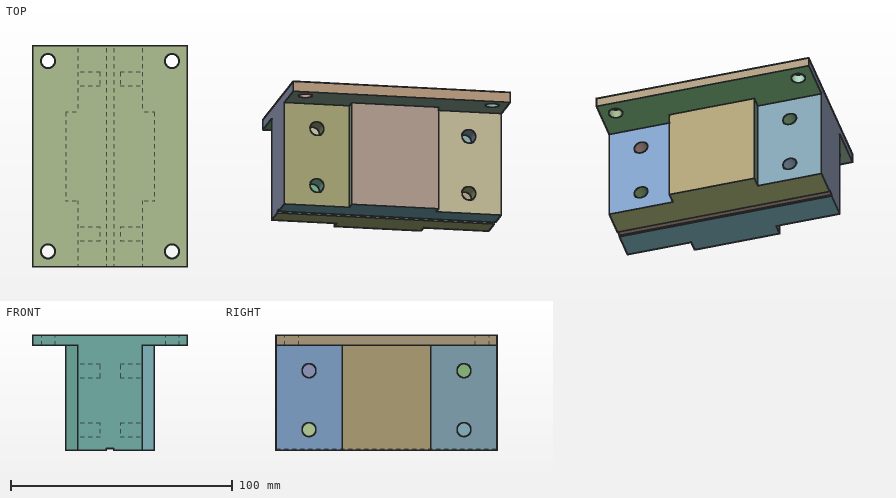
import cadquery as cq

plate_width = 70.0
length = 100.0
plate_thickness = 4.7
total_height = 52.1
plate_hole_spacing_x = 56.0
plate_hole_spacing_y = 86.0

block_height = total_height - plate_thickness
block_width = 29.3
pad_length = 40.0
width_over_pads = 40.2

hole_diameter = 6.3
side_hole_depth = 10.0
side_hole_spacing_y = 70.0
side_hole_spacing_z = 26.6
lower_side_hole_z = 9.4

groove_width = 3.3
groove_depth = 0.8


def standing_box(width, depth, height):
    """Box centred in X and Y that stands on Z = 0."""
    return cq.Workplane("XY").box(width, depth, height, centered=(True, True, False))


def side_holes(side):
    """Four blind holes drilled inwards from the block face on the given X side."""
    centre_z = lower_side_hole_z + side_hole_spacing_z / 2
    face_centre = (side * block_width / 2, 0, centre_z)
    inward_plane = cq.Plane(origin=face_centre, xDir=(0, 1, 0), normal=(-side, 0, 0))
    return (
        cq.Workplane(inward_plane)
        .rarray(side_hole_spacing_y, side_hole_spacing_z, 2, 2)
        .circle(hole_diameter / 2)
        .extrude(side_hole_depth)
    )


plate = standing_box(plate_width, length, plate_thickness).translate((0, 0, block_height))
plate_holes = (
    cq.Workplane("XY")
    .workplane(offset=block_height)
    .rarray(plate_hole_spacing_x, plate_hole_spacing_y, 2, 2)
    .circle(hole_diameter / 2)
    .extrude(plate_thickness)
)
block = standing_box(block_width, length, block_height)
pads = standing_box(width_over_pads, pad_length, block_height)
groove = standing_box(groove_width, length, groove_depth)

result = plate.union(block).union(pads).cut(plate_holes).cut(groove)
for side in (-1, 1):
    result = result.cut(side_holes(side))
result = result.clean()